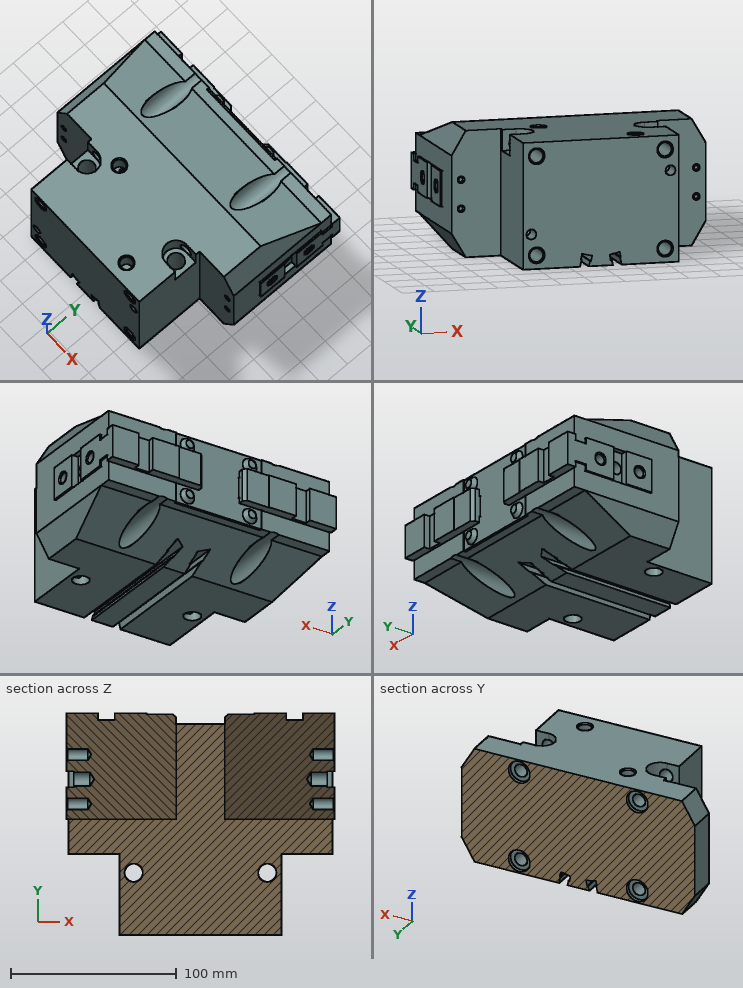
import cadquery as cq
import math


HOUSING_LENGTH = 159.7
HEIGHT = 78.0
STEM_LENGTH = 97.8
SHOULDER_Y = 49.0
SLOPE_START_Y = 78.7
LIP_START_Y = 119.9
LIP_FRONT_Y = 128.0
FLANK_HEIGHT = 48.0
FLAT_LENGTH = 141.9

COVER_LENGTH = 61.5
COVER_RECESS = 0.5
COVER_THICKNESS = 1.3
COVER_INSET = 0.2
SCREW_X = 22.5
SCREW_Z = 17.3
SCREW_BASE_RADIUS = 5.0
SCREW_TOP_RADIUS = 2.8
SCREW_HEIGHT = 2.9

BOLT_X = 40.3
BOLT_Z = 30.5
BOLT_DIAMETER = 8.5
BOLT_BORE_DIAMETER = 14.3
BOLT_BORE_START_Y = 64.8
CHAMFER = 0.8

SIDE_HOLE_Y = 37.6
SIDE_HOLE_DIAMETER = 10.9
SIDE_POCKET_WIDTH = 16.8
SIDE_POCKET_DEPTH = 13.0

PORTS = [(-25.0, 50.0, 2.0), (25.0, 11.2, -3.0)]
PORT_DIAMETER = 8.3
PORT_DEPTH = 13.0
FEED_DIAMETER = 3.0
FEED_DEPTH = 3.2

DOWEL_X = 43.7
DOWEL_Z = 17.5
DOWEL_DIAMETER = 6.2
DOWEL_DEPTH = 13.0
SHOULDER_HOLE_X = 73.9
SHOULDER_HOLE_Z = 8.9
SHOULDER_HOLE_DIAMETER = 2.8
SHOULDER_HOLE_DEPTH = 8.1

GROOVE_X = 10.4
GROOVE_TILT = 13.5
GROOVE_DEPTH = 7.5
GROOVE_MOUTH_WIDTH = 5.3
GROOVE_HEAD_WIDTH = 6.5
GROOVE_HEAD_HEIGHT = 3.4

JAW_OUTER_X = 81.0
JAW_INNER_X = 14.7
JAW_WIDTH = 22.0
JAW_NECK_WIDTH = 14.0
JAW_BACK_Y = 70.0
JAW_FRONT_Y = 134.0
FINGER_STEP_X = 32.5
FINGER_STEP = 0.5
FINGER_CHAMFER = 2.1
KEYWAY_X = 56.9
KEYWAY_WIDTH = 10.0
KEYWAY_DEPTH = 4.0
END_SLOT_Y = 94.1
END_SLOT_WIDTH = 9.5
END_SLOT_DEPTH = 4.5
JAW_HOLE_SPACING = 14.9
JAW_HOLE_DIAMETER = 6.6
JAW_HOLE_DEPTH = 13.0
END_SLOT_HOLE_DIAMETER = 8.1
END_SLOT_HOLE_DEPTH = 9.7

DRILL_TIP_ANGLE = 118.0
SIDES = (-1, 1)


def box(x_range, y_range, z_range):
    """Box between pairs of limits."""
    sizes = [high - low for low, high in (x_range, y_range, z_range)]
    corner = (x_range[0], y_range[0], z_range[0])
    return cq.Workplane("XY").box(*sizes, centered=False).translate(corner)


def rod(diameter, start, direction, length):
    """Solid cylinder from a start point."""
    solid = cq.Solid.makeCylinder(diameter / 2, length, cq.Vector(*start), cq.Vector(*direction))
    return cq.Workplane(obj=solid)


def mouth_chamfer(diameter, start, direction):
    """Cone that breaks the edge of a hole."""
    radius = diameter / 2
    cone = cq.Solid.makeCone(radius + CHAMFER, radius, CHAMFER, cq.Vector(*start), cq.Vector(*direction))
    return cq.Workplane(obj=cone)


def drilling(diameter, start, direction, depth):
    """Blind hole with a conical drill tip."""
    radius = diameter / 2
    tip_length = radius / math.tan(math.radians(DRILL_TIP_ANGLE / 2))
    tip_start = cq.Vector(*start) + cq.Vector(*direction) * depth
    tip = cq.Solid.makeCone(radius, 0, tip_length, tip_start, cq.Vector(*direction))
    return rod(diameter, start, direction, depth).union(cq.Workplane(obj=tip))


def make_jaw_blank():
    """Left jaw with its T guide, before the holes and slots."""
    x_range = (-JAW_OUTER_X, -JAW_INNER_X)
    wide = (-JAW_WIDTH / 2, JAW_WIDTH / 2)
    neck = (-JAW_NECK_WIDTH / 2, JAW_NECK_WIDTH / 2)
    foot = box(x_range, (JAW_BACK_Y, LIP_START_Y), wide)
    guide_neck = box(x_range, (LIP_START_Y, LIP_FRONT_Y), neck)
    lower_front_y = JAW_FRONT_Y - FINGER_STEP
    finger = (
        cq.Workplane("XY", origin=(0, 0, -JAW_WIDTH / 2))
        .moveTo(-JAW_OUTER_X, LIP_FRONT_Y)
        .lineTo(-JAW_INNER_X, LIP_FRONT_Y)
        .lineTo(-JAW_INNER_X, lower_front_y - FINGER_CHAMFER)
        .lineTo(-JAW_INNER_X - FINGER_CHAMFER, lower_front_y)
        .lineTo(-FINGER_STEP_X, lower_front_y)
        .lineTo(-FINGER_STEP_X, JAW_FRONT_Y)
        .lineTo(-JAW_OUTER_X, JAW_FRONT_Y)
        .close()
        .extrude(JAW_WIDTH)
    )
    return foot.union(guide_neck).union(finger)


def make_jaw(side):
    """Finished jaw on the -X (side = -1) or +X (side = 1) end."""
    jaw = make_jaw_blank()
    wide = (-JAW_WIDTH / 2, JAW_WIDTH / 2)

    keyway_x = (-KEYWAY_X - KEYWAY_WIDTH / 2, -KEYWAY_X + KEYWAY_WIDTH / 2)
    jaw = jaw.cut(box(keyway_x, (JAW_FRONT_Y - KEYWAY_DEPTH, JAW_FRONT_Y), wide))

    end_slot_floor_x = -JAW_OUTER_X + END_SLOT_DEPTH
    end_slot_y = (END_SLOT_Y - END_SLOT_WIDTH / 2, END_SLOT_Y + END_SLOT_WIDTH / 2)
    jaw = jaw.cut(box((-JAW_OUTER_X, end_slot_floor_x), end_slot_y, wide))

    inward = (1, 0, 0)
    slot_hole_start = (end_slot_floor_x, END_SLOT_Y, 0)
    jaw = jaw.cut(drilling(END_SLOT_HOLE_DIAMETER, slot_hole_start, inward, END_SLOT_HOLE_DEPTH))
    for direction in SIDES:
        start = (-JAW_OUTER_X, END_SLOT_Y + direction * JAW_HOLE_SPACING, 0)
        jaw = jaw.cut(drilling(JAW_HOLE_DIAMETER, start, inward, JAW_HOLE_DEPTH))
        jaw = jaw.cut(mouth_chamfer(JAW_HOLE_DIAMETER, start, inward))

    return jaw if side < 0 else jaw.mirror("YZ")


def make_housing_block():
    """Stem and head; the head is the overlap of an end profile and a side profile."""
    half_length = HOUSING_LENGTH / 2
    half_flat = FLAT_LENGTH / 2
    half_flank = FLANK_HEIGHT / 2
    half_height = HEIGHT / 2
    end_profile = (
        cq.Workplane("XZ")
        .polyline([
            (-half_length, -half_flank), (-half_flat, -half_height),
            (half_flat, -half_height), (half_length, -half_flank),
            (half_length, half_flank), (half_flat, half_height),
            (-half_flat, half_height), (-half_length, half_flank),
        ])
        .close()
        .extrude(-LIP_FRONT_Y)
    )
    side_profile = (
        cq.Workplane("YZ")
        .polyline([
            (SHOULDER_Y, -half_height), (SLOPE_START_Y, -half_height),
            (LIP_START_Y, -half_flank), (LIP_FRONT_Y, -half_flank),
            (LIP_FRONT_Y, half_flank), (LIP_START_Y, half_flank),
            (SLOPE_START_Y, half_height), (SHOULDER_Y, half_height),
        ])
        .close()
        .extrude(half_length, both=True)
    )
    half_stem = STEM_LENGTH / 2
    stem = box((-half_stem, half_stem), (0, SHOULDER_Y), (-half_height, half_height))
    return end_profile.intersect(side_profile).union(stem)


def add_cover(housing):
    """Recess in the lip front with a cover plate and four conical screw heads."""
    cover_x = (-COVER_LENGTH / 2, COVER_LENGTH / 2)
    cover_front_y = LIP_FRONT_Y - COVER_RECESS
    recess_floor_y = cover_front_y - COVER_THICKNESS
    half_cover = FLANK_HEIGHT / 2 - COVER_INSET
    lip_z = (-FLANK_HEIGHT / 2, FLANK_HEIGHT / 2)
    housing = housing.cut(box(cover_x, (recess_floor_y, LIP_FRONT_Y), lip_z))
    housing = housing.union(box(cover_x, (recess_floor_y, cover_front_y), (-half_cover, half_cover)))
    for x_side in SIDES:
        for z_side in SIDES:
            start = cq.Vector(x_side * SCREW_X, cover_front_y, z_side * SCREW_Z)
            head = cq.Solid.makeCone(
                SCREW_BASE_RADIUS, SCREW_TOP_RADIUS, SCREW_HEIGHT, start, cq.Vector(0, 1, 0)
            )
            housing = housing.union(cq.Workplane(obj=head))
    return housing


def cut_bolt_holes(housing):
    """Four bolt holes from the mounting face, opening into wide bores behind."""
    toward_front = (0, 1, 0)
    for x_side in SIDES:
        for z_side in SIDES:
            x = x_side * BOLT_X
            z = z_side * BOLT_Z
            bore_length = LIP_FRONT_Y - BOLT_BORE_START_Y
            housing = housing.cut(rod(BOLT_DIAMETER, (x, 0, z), toward_front, LIP_FRONT_Y))
            housing = housing.cut(mouth_chamfer(BOLT_DIAMETER, (x, 0, z), toward_front))
            bore_start = (x, BOLT_BORE_START_Y, z)
            housing = housing.cut(rod(BOLT_BORE_DIAMETER, bore_start, toward_front, bore_length))
    return housing


def cut_side_pockets(housing):
    """Through hole along Z in a round-ended pocket that opens to each stem side."""
    up = (0, 0, 1)
    half_width = SIDE_POCKET_WIDTH / 2
    floor_z = HEIGHT / 2 - SIDE_POCKET_DEPTH
    for side in SIDES:
        x = side * BOLT_X
        opening_x = sorted((x, side * STEM_LENGTH / 2))
        y_range = (SIDE_HOLE_Y - half_width, SIDE_HOLE_Y + half_width)
        pocket_center = (x, SIDE_HOLE_Y, floor_z)
        hole_start = (x, SIDE_HOLE_Y, -HEIGHT / 2)
        housing = housing.cut(rod(SIDE_POCKET_WIDTH, pocket_center, up, SIDE_POCKET_DEPTH))
        housing = housing.cut(box(opening_x, y_range, (floor_z, HEIGHT / 2)))
        housing = housing.cut(rod(SIDE_HOLE_DIAMETER, hole_start, up, HEIGHT))
    return housing


def cut_ports(housing):
    """Two flat-bottomed ports in the top face, each with a small feed hole."""
    down = (0, 0, -1)
    for x, y, feed_offset in PORTS:
        mouth = (x, y, HEIGHT / 2)
        feed_start = (x, y + feed_offset, HEIGHT / 2 - PORT_DEPTH)
        housing = housing.cut(rod(PORT_DIAMETER, mouth, down, PORT_DEPTH))
        housing = housing.cut(mouth_chamfer(PORT_DIAMETER, mouth, down))
        housing = housing.cut(drilling(FEED_DIAMETER, feed_start, down, FEED_DEPTH))
    return housing


def cut_blind_holes(housing):
    """Diagonal dowel holes in the mounting face and small holes in the shoulders."""
    inward = (0, 1, 0)
    for side in SIDES:
        dowel_start = (side * DOWEL_X, 0, side * DOWEL_Z)
        housing = housing.cut(drilling(DOWEL_DIAMETER, dowel_start, inward, DOWEL_DEPTH))
        for z_side in SIDES:
            start = (side * SHOULDER_HOLE_X, SHOULDER_Y, z_side * SHOULDER_HOLE_Z)
            housing = housing.cut(drilling(SHOULDER_HOLE_DIAMETER, start, inward, SHOULDER_HOLE_DEPTH))
            housing = housing.cut(mouth_chamfer(SHOULDER_HOLE_DIAMETER, start, inward))
    return housing


def cut_sensor_grooves(housing):
    """Two mirrored tilted T-shaped grooves along Y in the bottom face."""
    half_mouth = GROOVE_MOUTH_WIDTH / 2
    half_head = GROOVE_HEAD_WIDTH / 2
    y_range = (0, LIP_FRONT_Y)
    mouth = box((-half_mouth, half_mouth), y_range, (-GROOVE_DEPTH, GROOVE_DEPTH))
    head_z = (GROOVE_DEPTH - GROOVE_HEAD_HEIGHT, GROOVE_DEPTH)
    upright_groove = mouth.union(box((-half_head, half_head), y_range, head_z))
    for side in SIDES:
        groove = upright_groove.rotate((0, 0, 0), (0, 1, 0), -side * GROOVE_TILT)
        housing = housing.cut(groove.translate((side * GROOVE_X, 0, -HEIGHT / 2)))
    return housing


def make_housing():
    """Complete housing with a matching guide pocket for each jaw."""
    housing = make_housing_block()
    housing = add_cover(housing)
    housing = cut_bolt_holes(housing)
    housing = cut_side_pockets(housing)
    housing = cut_ports(housing)
    housing = cut_blind_holes(housing)
    housing = cut_sensor_grooves(housing)
    guide = make_jaw_blank()
    return housing.cut(guide).cut(guide.mirror("YZ"))


housing = make_housing()
jaws = [make_jaw(side) for side in SIDES]

result = cq.Compound.makeCompound([housing.val(), *[jaw.val() for jaw in jaws]])